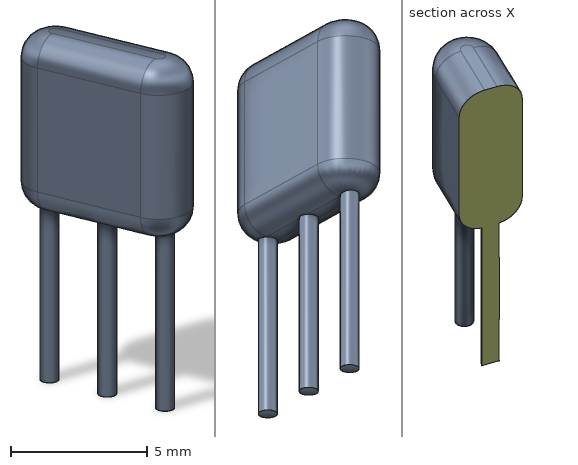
import cadquery as cq

BODY_WIDTH = 7.0
BODY_THICKNESS = 2.54
BODY_HEIGHT = 7.0
RIM_RADIUS = 1.02

LEAD_COUNT = 3
LEAD_DIAMETER = 0.7
LEAD_LENGTH = 7.0
LEAD_PITCH = 2.5


def make_body():
    """Block with half-round ends and filleted top and bottom rims."""
    block = cq.Workplane("XY").slot2D(BODY_WIDTH, BODY_THICKNESS).extrude(BODY_HEIGHT)
    return block.faces("<Z or >Z").edges().fillet(RIM_RADIUS)


def make_leads():
    """Row of straight pins reaching up to the middle of the body.

    The lead is wider than the flat strip left on the underside of the body,
    so it has to run into the body to meet the rounded rim all the way around.
    """
    return (
        cq.Workplane("XY")
        .workplane(offset=-LEAD_LENGTH)
        .rarray(LEAD_PITCH, 1, LEAD_COUNT, 1)
        .circle(LEAD_DIAMETER / 2)
        .extrude(LEAD_LENGTH + BODY_HEIGHT / 2)
    )


result = make_body().union(make_leads())